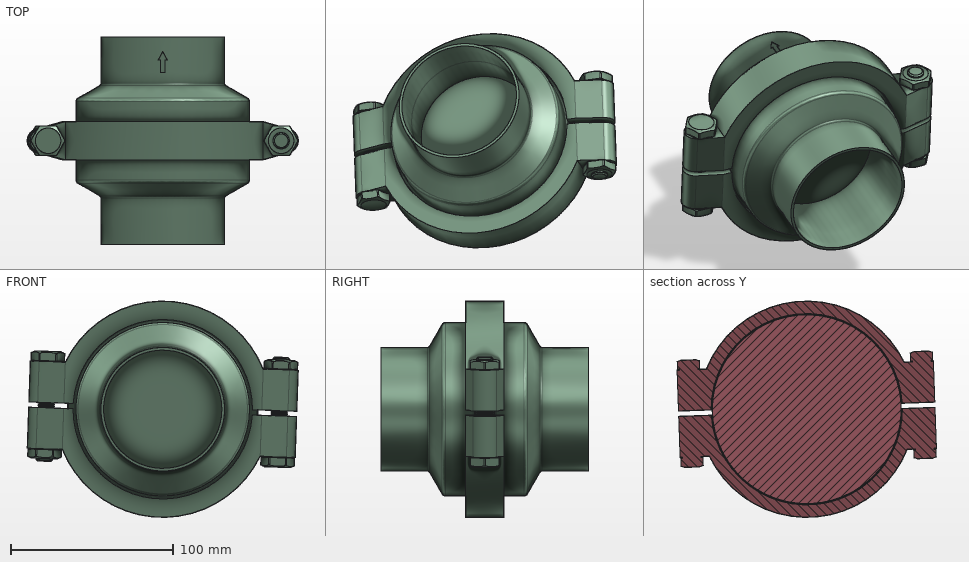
import cadquery as cq
import math

valve_length = 127.8
pipe_radius = 38.0
bore_radius = 36.4
bore_depth = 48.4
housing_radius = 53.4
housing_half_length = 25.5
cone_angle = 60
cone_length = (housing_radius - pipe_radius) / math.tan(math.radians(cone_angle))
neck_fillet = 1.7
shoulder_fillet = 2.5
flange_radius = 58.7
flange_width = 12.7
flange_root_fillet = 1.0
flange_chamfer = 0.5

arrow_tip_y = 54.9
arrow_head_y = 49.5
arrow_tail_y = 41.9
arrow_head_width = 5.7
arrow_shaft_width = 2.8
arrow_depth = 0.3

overall_length = 166.9
clamp_turn = 2.0
clamp_turn_rad = math.radians(clamp_turn)
clamp_width = 23.5
clamp_radius = 66.5
clamp_bore_radius = 55.2
clamp_gap = 3.2
lug_height = 53.7
lug_start = math.sqrt(clamp_radius**2 - (lug_height / 2) ** 2)
lug_end_radius = 7.5
lug_reach = (overall_length / 2 - lug_height / 2 * math.sin(clamp_turn_rad)) / math.cos(clamp_turn_rad)
lug_end_center = lug_reach - lug_end_radius

bolt_offset = 71.8
bolt_radius = 5.0
bolt_tip_length = 1.7
bolt_tip_chamfer = 0.8
thread_pitch = 1.0
thread_depth = 0.7
hex_across_flats = 18.4
hex_corner_radius = 10.3
hex_face_radius = 7.8
hex_chamfer_angle = 25
head_height = 6.3
nut_height = 6.0
bearing_radius = 8.7
bearing_thickness = 0.5


def y_cylinder(radius, length):
    """Cylinder along Y, centred on the origin."""
    return cq.Workplane("XZ").circle(radius).extrude(length / 2, both=True)


def ring_at(y):
    """Selector for the circular edges about the Y axis at one Y and no farther out than the housing."""
    margin = 0.2
    size = housing_radius + margin
    return cq.selectors.BoxSelector((-size, y - margin, -size), (size, y + margin, size), boundingbox=True)


def make_arrow():
    """Cutter for the flow arrow: an arrow prism outside a cylinder just below the pipe surface."""
    head_x = arrow_head_width / 2
    shaft_x = arrow_shaft_width / 2
    outline = [
        (0, arrow_tip_y),
        (head_x, arrow_head_y),
        (shaft_x, arrow_head_y),
        (shaft_x, arrow_tail_y),
        (-shaft_x, arrow_tail_y),
        (-shaft_x, arrow_head_y),
        (-head_x, arrow_head_y),
    ]
    prism = cq.Workplane("XY").polyline(outline).close().extrude(2 * pipe_radius)
    return prism.cut(y_cylinder(pipe_radius - arrow_depth, valve_length))


def make_valve():
    """Pipes, conical shoulders, housing and flange, with a blind bore from each end and a flow arrow."""
    half_length = valve_length / 2
    neck_y = housing_half_length + cone_length
    outline = [
        (0, -half_length),
        (pipe_radius, -half_length),
        (pipe_radius, -neck_y),
        (housing_radius, -housing_half_length),
        (housing_radius, housing_half_length),
        (pipe_radius, neck_y),
        (pipe_radius, half_length),
        (0, half_length),
    ]
    valve = cq.Workplane("XY").polyline(outline).close().revolve(360, (0, 0, 0), (0, 1, 0))
    for side in (-1, 1):
        valve = valve.edges(ring_at(side * neck_y)).fillet(neck_fillet)
        valve = valve.edges(ring_at(side * housing_half_length)).fillet(shoulder_fillet)
    valve = valve.union(y_cylinder(flange_radius, flange_width).edges().chamfer(flange_chamfer))
    for side in (-1, 1):
        valve = valve.edges(ring_at(side * flange_width / 2)).fillet(flange_root_fillet)
    for side in (-1, 1):
        bore = y_cylinder(bore_radius, bore_depth)
        valve = valve.cut(bore.translate((0, side * (half_length - bore_depth / 2), 0)))
    return valve.cut(make_arrow())


def make_lug():
    """Both halves of the +X lug: tapers from the ring width to a tangent rounded end."""
    half_width = clamp_width / 2
    run = lug_end_center - lug_start
    taper = math.atan2(half_width, run) - math.asin(lug_end_radius / math.hypot(half_width, run))
    tangent_x = lug_end_center + lug_end_radius * math.sin(taper)
    tangent_y = lug_end_radius * math.cos(taper)
    return (
        cq.Workplane("XY")
        .moveTo(clamp_bore_radius, -half_width)
        .lineTo(lug_start, -half_width)
        .lineTo(tangent_x, -tangent_y)
        .threePointArc((lug_reach, 0), (tangent_x, tangent_y))
        .lineTo(lug_start, half_width)
        .lineTo(clamp_bore_radius, half_width)
        .close()
        .extrude(lug_height / 2, both=True)
    )


def make_hex(height):
    """Hexagon standing on Z = 0, corners along X, turned round at its bearing face and upper corners."""
    full_diameter = 2 * hex_across_flats / math.sqrt(3)
    drop = (hex_corner_radius - hex_face_radius) * math.tan(math.radians(hex_chamfer_angle))
    envelope = [
        (0, 0),
        (bearing_radius, 0),
        (bearing_radius, bearing_thickness),
        (hex_corner_radius, bearing_thickness),
        (hex_corner_radius, height - drop),
        (hex_face_radius, height),
        (0, height),
    ]
    turned = cq.Workplane("XZ").polyline(envelope).close().revolve(360, (0, 0, 0), (0, 1, 0))
    return cq.Workplane("XY").polygon(6, full_diameter).extrude(height).intersect(turned)


def make_shank():
    """Bolt shank from under the head to past the nut, threaded where the gap exposes it."""
    top = lug_height / 2
    tip = -(top + nut_height + bolt_tip_length)
    shank = (
        cq.Workplane("XY").workplane(offset=tip).circle(bolt_radius).extrude(top - tip)
        .faces("<Z").chamfer(bolt_tip_chamfer)
    )
    for groove_z in (-thread_pitch, 0, thread_pitch):
        groove = (
            cq.Workplane("XZ")
            .moveTo(bolt_radius, groove_z - thread_pitch / 2)
            .lineTo(bolt_radius - thread_depth, groove_z)
            .lineTo(bolt_radius, groove_z + thread_pitch / 2)
            .close()
            .revolve(360, (0, 0, 0), (0, 1, 0))
        )
        shank = shank.cut(groove)
    return shank


def make_bolt():
    """Bolt along Z with its head above the lug and its nut below."""
    head = make_hex(head_height).translate((0, 0, lug_height / 2))
    nut = make_hex(nut_height).rotate((0, 0, 0), (1, 0, 0), 180).translate((0, 0, -lug_height / 2))
    return make_shank().union(head).union(nut)


def make_clamp():
    """Ring split at Z = 0 and held together by a bolt through each pair of lugs."""
    ring = y_cylinder(clamp_radius, clamp_width)
    ring = ring.intersect(cq.Workplane("XY").box(2 * lug_start, clamp_width, 2 * clamp_radius))
    clamp = ring.union(make_lug()).union(make_lug().rotate((0, 0, 0), (0, 1, 0), 180))
    clamp = clamp.cut(y_cylinder(clamp_bore_radius, clamp_width))
    clamp = clamp.cut(y_cylinder(flange_radius, flange_width))
    clamp = clamp.cut(cq.Workplane("XY").box(2 * lug_reach, clamp_width, clamp_gap))
    for turn in (0, 180):
        bolt = make_bolt().translate((-bolt_offset, 0, 0)).rotate((0, 0, 0), (0, 1, 0), turn)
        clamp = clamp.union(bolt)
    return clamp.rotate((0, 0, 0), (0, 1, 0), clamp_turn)


valve = make_valve()
clamp = make_clamp()

result = cq.Compound.makeCompound([valve.solids().val(), clamp.solids().val()])